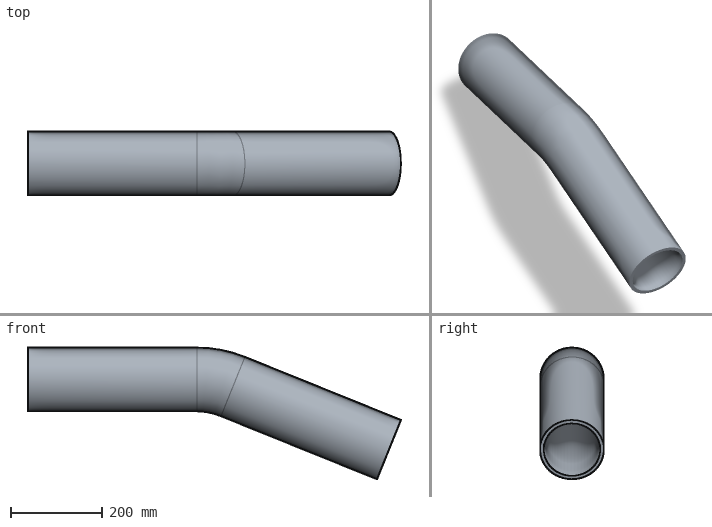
import cadquery as cq
import math

outer_diameter = 140.0
inner_diameter = 123.4

leg_length = 368.75
bend_angle = 22.0
bend_radius = 1.5 * outer_diameter


def bend_point(angle_deg):
    """Centreline point (x, z) reached after turning by angle_deg in the bend."""
    angle = math.radians(angle_deg)
    x = leg_length + bend_radius * math.sin(angle)
    z = -bend_radius * (1 - math.cos(angle))
    return x, z


def pipe_centreline():
    """Path from the inlet at the origin to the outlet of the lowered leg."""
    bend_end_x, bend_end_z = bend_point(bend_angle)
    slope = math.radians(bend_angle)
    outlet = (
        bend_end_x + leg_length * math.cos(slope),
        bend_end_z - leg_length * math.sin(slope),
    )
    return (
        cq.Workplane("XZ")
        .lineTo(leg_length, 0)
        .threePointArc(bend_point(bend_angle / 2), (bend_end_x, bend_end_z))
        .lineTo(*outlet)
    )


def bent_pipe():
    """Annular section swept along the centreline, open at both ends."""
    section = cq.Workplane("YZ").circle(outer_diameter / 2).circle(inner_diameter / 2)
    return section.sweep(pipe_centreline())


result = bent_pipe()